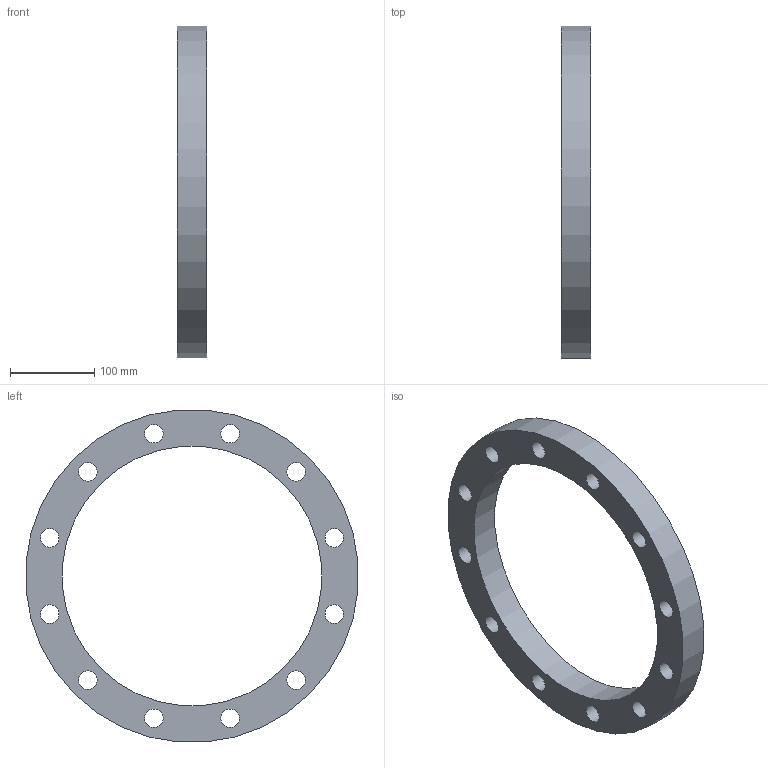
import cadquery as cq

outer_diameter = 396.0
bore_diameter = 309.0
thickness = 35.0
bolt_circle_diameter = 350.0
bolt_hole_diameter = 22.0
bolt_hole_count = 12

half_pitch_angle = 360.0 / bolt_hole_count / 2


def flange_ring():
    """Flat ring with its axis along X, starting at X = 0."""
    return (
        cq.Workplane("YZ")
        .circle(outer_diameter / 2)
        .circle(bore_diameter / 2)
        .extrude(thickness)
    )


def bolt_holes():
    """Through-hole cutters, evenly spaced on the bolt circle."""
    return (
        cq.Workplane("YZ")
        .polarArray(bolt_circle_diameter / 2, 0, 360, bolt_hole_count)
        .circle(bolt_hole_diameter / 2)
        .extrude(thickness)
    )


result = flange_ring().cut(bolt_holes()).rotate((0, 0, 0), (1, 0, 0), half_pitch_angle)